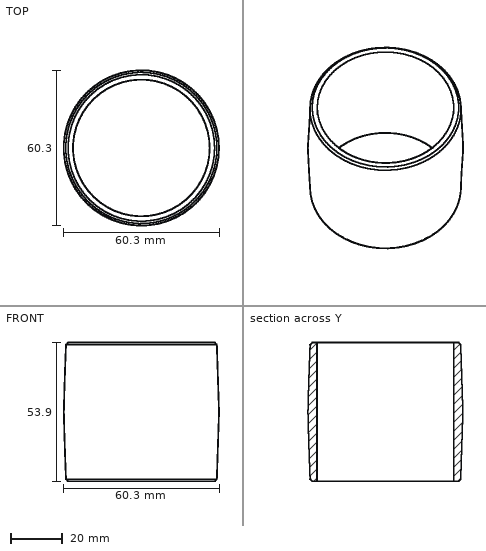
import cadquery as cq

height = 53.9
middle_diameter = 60.3
end_diameter = 58.65
bore_diameter = 52.9
chamfer_size = 0.9

middle_radius = middle_diameter / 2
end_radius = end_diameter / 2
bore_radius = bore_diameter / 2
face_radius = end_radius - chamfer_size
top = height / 2
shoulder = top - chamfer_size

section = (
    cq.Workplane("XZ")
    .moveTo(bore_radius, -top)
    .lineTo(face_radius, -top)
    .lineTo(end_radius, -shoulder)
    .lineTo(middle_radius, 0)
    .lineTo(end_radius, shoulder)
    .lineTo(face_radius, top)
    .lineTo(bore_radius, top)
    .close()
)

result = section.revolve(360, (0, 0, 0), (0, 1, 0))